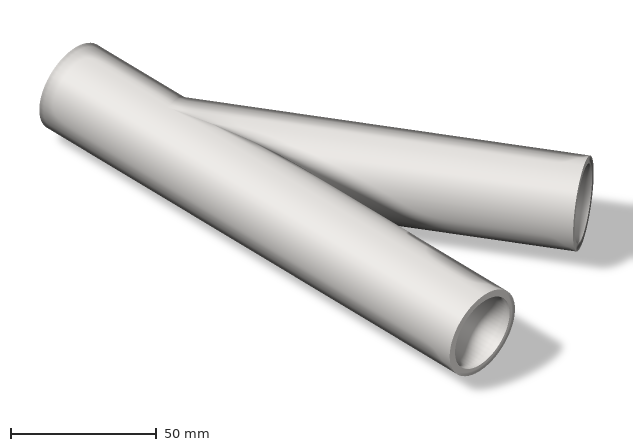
import cadquery as cq
import math

main_length = 190.5
outer_diameter = 33.3
bore_diameter = 27.8
branch_angle = 30.0
branch_length = 146.1
junction_x = 44.4

main_start = cq.Vector(0, 0, 0)
main_direction = cq.Vector(1, 0, 0)
branch_start = cq.Vector(junction_x, 0, 0)
branch_direction = cq.Vector(
    math.cos(math.radians(branch_angle)),
    math.sin(math.radians(branch_angle)),
    0,
)


def pipe_pair(diameter):
    """Joined solid cylinders along the main and branch axes."""
    radius = diameter / 2
    main = cq.Solid.makeCylinder(radius, main_length, main_start, main_direction)
    branch = cq.Solid.makeCylinder(radius, branch_length, branch_start, branch_direction)
    return cq.Workplane(main).union(cq.Workplane(branch))


result = pipe_pair(outer_diameter).cut(pipe_pair(bore_diameter))